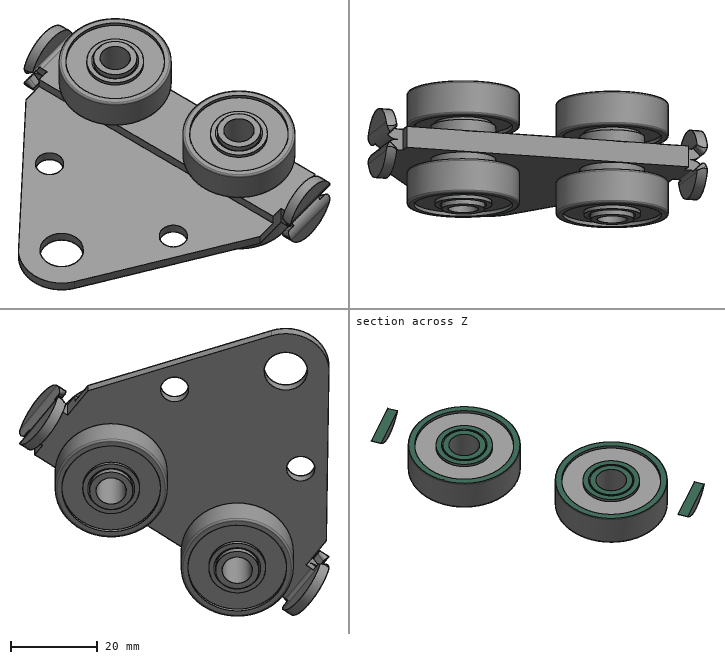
import cadquery as cq
import math


overall_length = 77.5
sheet_thickness = 2.5
plate_length = 68.05
strip_width = 16.0
shoulder_y = -13.0
hanger_hole_y = -44.0
hanger_hole_diameter = 10.0
tip_radius = 10.0
small_hole_diameter = 6.5
small_hole_y = -25.0

axle_spacing = 35.95
axle_diameter = 10.0
axle_length = 28.5
axle_bore = 7.0
spacer_diameter = 15.0
wheel_diameter = 26.0
wheel_width = 8.0
wheel_edge_fillet = 0.5
wheel_top = 13.25
recess_outer_diameter = 22.8
recess_inner_diameter = 13.2
recess_depth = 0.85
bearing_bore_chamfer = 0.43

neck_width = 10.0
tab_disc_diameter = 16.05
tab_bend_width = 15.3
tab_corner_fillet = 1.0
bend_outer_radius = 3.3
bend_inner_radius = bend_outer_radius - sheet_thickness
widening_angle = 45.0

half_plate = plate_length / 2
half_strip = strip_width / 2
half_spacing = axle_spacing / 2
half_overall = overall_length / 2
bend_x = half_overall - bend_outer_radius
wheel_bottom = wheel_top - wheel_width


def upper_strip():
    return cq.Workplane("XY").box(
        plate_length, strip_width, sheet_thickness, centered=(True, True, False)
    )


def hanger_plate():
    """Lower plate tapering to a rounded tip, its sides tangent to the tip arc."""
    rise = shoulder_y - hanger_hole_y
    to_corner = math.hypot(half_plate, rise)
    tangent_angle = math.atan2(rise, half_plate) - math.acos(tip_radius / to_corner)
    tangent_x = tip_radius * math.cos(tangent_angle)
    tangent_y = hanger_hole_y + tip_radius * math.sin(tangent_angle)
    plate = (
        cq.Workplane("XY", origin=(0, 0, -sheet_thickness))
        .moveTo(-half_plate, half_strip)
        .lineTo(half_plate, half_strip)
        .lineTo(half_plate, shoulder_y)
        .lineTo(tangent_x, tangent_y)
        .threePointArc((0, hanger_hole_y - tip_radius), (-tangent_x, tangent_y))
        .lineTo(-half_plate, shoulder_y)
        .close()
        .extrude(sheet_thickness)
    )
    small_holes = (
        cq.Workplane("XY")
        .pushPoints([(-half_spacing, small_hole_y), (half_spacing, small_hole_y)])
        .circle(small_hole_diameter / 2)
        .extrude(-sheet_thickness)
    )
    hanger_hole = (
        cq.Workplane("XY")
        .center(0, hanger_hole_y)
        .circle(hanger_hole_diameter / 2)
        .extrude(-sheet_thickness)
    )
    return plate.cut(small_holes).cut(hanger_hole)


def bend_sector(start_angle, end_angle, width):
    """Part of the upward bend; 0 degrees is at the plate, 90 at the upright disc."""

    def point(radius, angle):
        a = math.radians(angle)
        return (bend_x + radius * math.sin(a), bend_outer_radius - radius * math.cos(a))

    middle = (start_angle + end_angle) / 2
    return (
        cq.Workplane("XZ")
        .moveTo(*point(bend_inner_radius, start_angle))
        .lineTo(*point(bend_outer_radius, start_angle))
        .threePointArc(point(bend_outer_radius, middle), point(bend_outer_radius, end_angle))
        .lineTo(*point(bend_inner_radius, end_angle))
        .threePointArc(point(bend_inner_radius, middle), point(bend_inner_radius, start_angle))
        .close()
        .extrude(width / 2, both=True)
    )


def upper_tab():
    """Neck, bend and upright disc segment at the +X end of the upper strip."""
    neck = cq.Workplane("XY").box(
        bend_x - half_plate, neck_width, sheet_thickness, centered=(False, True, False)
    ).translate((half_plate, 0, 0))
    narrow_bend = bend_sector(0, widening_angle, neck_width)

    disc = (
        cq.Workplane("YZ", origin=(half_plate, 0, 0))
        .circle(tab_disc_diameter / 2)
        .extrude(half_overall - half_plate)
    )
    wide_bend = (
        bend_sector(widening_angle, 90, tab_bend_width)
        .edges("|(1,0,-1)")
        .fillet(tab_corner_fillet)
        .intersect(disc)
    )
    upright = cq.Workplane("XY").box(
        sheet_thickness, tab_disc_diameter, tab_disc_diameter, centered=(False, True, False)
    ).translate((half_overall - sheet_thickness, 0, bend_outer_radius)).intersect(disc)
    return neck.union(narrow_bend).union(wide_bend).union(upright)


def upper_wheel():
    """Wheel with a shield recess and a chamfered bearing bore on both faces."""
    wheel = (
        cq.Workplane("XY", origin=(0, 0, wheel_bottom))
        .circle(wheel_diameter / 2)
        .circle(axle_diameter / 2)
        .extrude(wheel_width)
        .edges(cq.selectors.RadiusNthSelector(0))
        .chamfer(bearing_bore_chamfer)
        .edges(cq.selectors.RadiusNthSelector(-1))
        .fillet(wheel_edge_fillet)
    )
    for recess_bottom in (wheel_bottom, wheel_top - recess_depth):
        recess = (
            cq.Workplane("XY", origin=(0, 0, recess_bottom))
            .circle(recess_outer_diameter / 2)
            .circle(recess_inner_diameter / 2)
            .extrude(recess_depth)
        )
        wheel = wheel.cut(recess)
    return wheel


def wheel_pair():
    """Axle with its spacer and a wheel above and below the plates."""
    axle = cq.Workplane("XY").circle(axle_diameter / 2).extrude(axle_length / 2, both=True)
    spacer = cq.Workplane("XY").circle(spacer_diameter / 2).extrude(wheel_bottom, both=True)
    wheel = upper_wheel()
    return axle.union(spacer).union(wheel).union(wheel.mirror("XY"))


tab = upper_tab()
tab_pair = tab.union(tab.mirror("XY"))
wheels = wheel_pair()

result = upper_strip().union(hanger_plate())
result = result.union(tab_pair).union(tab_pair.mirror("YZ"))
for axle_x in (-half_spacing, half_spacing):
    bore = (
        cq.Workplane("XY")
        .center(axle_x, 0)
        .circle(axle_bore / 2)
        .extrude(axle_length / 2, both=True)
    )
    result = result.union(wheels.translate((axle_x, 0, 0))).cut(bore)